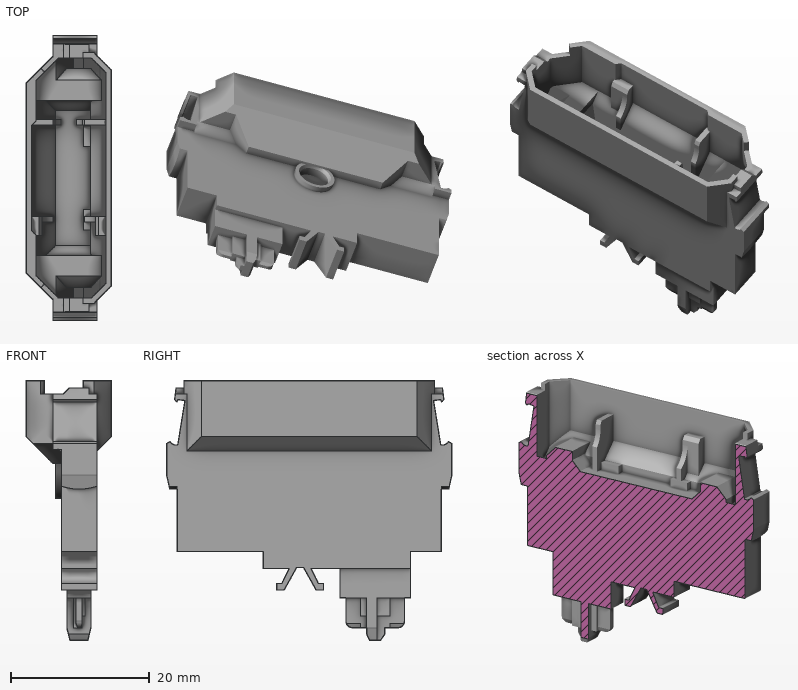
import cadquery as cq
import math

height = 37.5
half_width = 12.3 / 2
half_length = 41.2 / 2

shell_end = 18.1
left_corner = 4.35
right_corner = 2.5
skirt_top = 29.4
skirt_floor = 25.55
skirt_half = 10.18
end_floor = 28.43
wedge_floor = 27.15

body_left = -1.07
body_right = 4.08
clip_left = -2.3
body_half = 19.08
body_shoulder = 27.55
body_floor = 12.8
step_floor = 10.35
step_back = 14.63
step_front = -6.67

wall = 0.8
thick_left_wall = 1.4
thin_half = 7.6
inner_end = 17.35
inner_left_corner = 3.3
inner_right_corner = 2.15
slope_top = 29.75
floor_z = 26.3
floor_right = 3.15
ledge_z = 29.1
ledge_start = 11.15
ledge_end = 14.15
ramp_run = 1.4
inner_half = half_width - wall

pocket_left = -1.8
pocket_floor_left = 0.65
pocket_floor_right = 2.15
pocket_right = 4.55
pocket_ramp_end = 15.8

notch_z = 35.6
notch_right = 2.05
notch_diagonal = 11.8
lip_bump_z = 36.45

fin_top = 33.83
fin_bevel = 0.6
fin_thickness = 0.82
flare_radius = 3.7
flare_top = 32.42


def prism_x(points, x0, x1):
    """Prism along X from (y, z) points."""
    return cq.Workplane("YZ", origin=(x0, 0, 0)).polyline(points).close().extrude(x1 - x0)


def prism_y(points, y0, y1):
    """Prism along Y from (x, z) points."""
    return cq.Workplane("XZ", origin=(0, y1, 0)).polyline(points).close().extrude(y1 - y0)


def prism_z(points, z0, z1):
    """Prism along Z from (x, y) points."""
    return cq.Workplane("XY", origin=(0, 0, z0)).polyline(points).close().extrude(z1 - z0)


def block(x0, x1, y0, y1, z0, z1):
    return cq.Workplane("XY").box(x1 - x0, y1 - y0, z1 - z0, centered=False).translate((x0, y0, z0))


def both_ends(solid):
    """The solid together with its mirror image at the other Y end."""
    return solid.union(solid.mirror("XZ"))


def octagon(left, right, end, left_cut, right_cut, z0, z1):
    """Elongated plan outline with different corners on the -X and +X sides."""
    upper = [
        (right, end - right_cut),
        (right - right_cut, end),
        (left + left_cut, end),
        (left, end - left_cut),
    ]
    lower = [(x, -y) for x, y in reversed(upper)]
    return prism_z(upper + lower, z0, z1)


def shell():
    right_slope_end = skirt_top - (half_width - body_right)
    left_slope_end = -half_width + skirt_top - skirt_floor
    knee_x = -half_width + skirt_top - end_floor
    right_side = [(body_right, right_slope_end), (half_width, skirt_top), (half_width, height)]
    left_side = [(-half_width, height), (-half_width, skirt_top)]
    deep = left_side + [(left_slope_end, skirt_floor), (body_right, skirt_floor)] + right_side
    shallow = left_side + [(knee_x, end_floor), (body_right, end_floor)] + right_side
    rise = height - skirt_floor
    trapezoid = [
        (-skirt_half, skirt_floor),
        (skirt_half, skirt_floor),
        (skirt_half + rise, height),
        (-skirt_half - rise, height),
    ]
    middle = prism_y(deep, -shell_end, shell_end).intersect(prism_x(trapezoid, -half_width, half_width))
    walls = middle.union(prism_y(shallow, -shell_end, shell_end))
    outline = octagon(-half_width, half_width, shell_end, left_corner, right_corner, 0, height)
    short_end = 17.9
    hidden_ends = both_ends(block(clip_left, body_right, short_end, shell_end, end_floor, notch_z))
    return walls.intersect(outline).cut(hidden_ends)


def corner_wedges():
    """Sloped corner under the shallow ends, between the wide clips and the slab."""
    profile = [
        (clip_left, end_floor),
        (body_left, wedge_floor),
        (body_right, wedge_floor),
        (body_right, end_floor),
    ]
    return prism_y(profile, -shell_end, shell_end)


def wedge_clearance():
    """Space below the sloped corner, which also trims the inner part of the wide clips."""
    profile = [
        (clip_left, end_floor),
        (body_left, wedge_floor),
        (clip_left, wedge_floor),
    ]
    return prism_y(profile, -shell_end, shell_end)


def rim_notch():
    """Opening in the end wall, with one square side and one side across the slanted corner."""
    inside = 15.05
    plan = [
        (notch_right, half_length),
        (notch_diagonal - half_length, half_length),
        (notch_diagonal - inside, inside),
        (notch_right, inside),
    ]
    return both_ends(prism_z(plan, notch_z, height))


def cavity():
    left = -half_width + thick_left_wall
    outline = octagon(left, inner_half, inner_end, inner_left_corner, inner_right_corner, 0, height)
    thin_step = thick_left_wall - wall
    outline = outline.union(prism_z([
        (-inner_half, -thin_half),
        (left, -thin_half - thin_step),
        (left, thin_half + thin_step),
        (-inner_half, thin_half),
    ], 0, height))

    slope_right = [(inner_half, slope_top), (inner_half, height)]
    ledge_right = inner_half - slope_top + ledge_z
    upper = prism_y(
        [(-inner_half, height), (-inner_half, ledge_z), (ledge_right, ledge_z)] + slope_right,
        -inner_end, inner_end)
    trough = prism_y([
        (-inner_half, height),
        (-inner_half, slope_top),
        (-inner_half + slope_top - floor_z, floor_z),
        (floor_right, floor_z),
        (floor_right, slope_top - inner_half + floor_right),
    ] + slope_right, -ledge_start, ledge_start)
    ramp_foot = ledge_start - ramp_run
    ramp_top = floor_z + ramp_run
    trough_side = prism_x([
        (-ramp_foot, floor_z),
        (ramp_foot, floor_z),
        (ledge_start, ramp_top),
        (ledge_start, height),
        (-ledge_start, height),
        (-ledge_start, ramp_top),
    ], -half_width, half_width)
    middle = block(-half_width, half_width, -ledge_start, ledge_start, 0, height)
    return upper.cut(middle).union(trough.intersect(trough_side)).union(end_pockets()).intersect(outline)


def end_pockets():
    """V-shaped hollows between the ledges and the end walls."""
    wall_foot_z = slope_top - inner_half + pocket_right
    vee = prism_y([
        (pocket_left, ledge_z),
        (pocket_floor_left, floor_z),
        (pocket_floor_right, floor_z),
        (pocket_right, wall_foot_z),
        (pocket_right - wall_foot_z + ledge_z, ledge_z),
    ], ledge_end, inner_end)
    ramp_drop = pocket_ramp_end - ledge_end
    side = prism_x([
        (ledge_end, ledge_z),
        (pocket_ramp_end, ledge_z - ramp_drop),
        (pocket_ramp_end, floor_z),
        (inner_end, floor_z),
        (inner_end, ledge_z),
    ], -half_width, half_width)
    return both_ends(vee.intersect(side))


def fin(edge, foot, chamfer, y0, y1):
    """Fin standing off the +X wall whose free edge flares out at the bottom."""
    center_x = edge - flare_radius
    sweep = math.acos((foot - center_x) / flare_radius)
    end_z = flare_top - flare_radius * math.sin(sweep)
    middle = (
        center_x + flare_radius * math.cos(sweep / 2),
        flare_top - flare_radius * math.sin(sweep / 2),
    )
    return (
        cq.Workplane("XZ", origin=(0, y1, 0))
        .moveTo(half_width, 0)
        .lineTo(foot, 0)
        .lineTo(foot, end_z)
        .threePointArc(middle, (edge, flare_top))
        .lineTo(edge, fin_top - fin_bevel)
        .lineTo(edge + chamfer, fin_top)
        .lineTo(half_width, fin_top)
        .close()
        .extrude(y1 - y0)
    )


def fins():
    back_y = 7.62
    back = fin(edge=2.0, foot=1.15, chamfer=0.3, y0=back_y, y1=back_y + fin_thickness)

    front_y = -5.52
    post_width = 2.8
    post_edge = 3.87
    post_chamfer = 0.4
    front = fin(edge=post_edge, foot=2.25, chamfer=post_chamfer, y0=front_y - fin_thickness, y1=front_y)
    post = prism_y([
        (half_width, 0),
        (post_edge, 0),
        (post_edge, fin_top - fin_bevel),
        (post_edge + post_chamfer, fin_top),
        (half_width, fin_top),
    ], front_y - post_width, front_y)
    right = back.union(front).union(post)
    return right.union(right.mirror("YZ"))


def floor_pads():
    """Raised pads against the upright step on the +X side of the floor."""
    pad_left = 2.15
    pad_near = 4.55
    pad_far = 7.5
    pad_top = slope_top - inner_half + floor_right
    return both_ends(block(pad_left, floor_right, pad_near, pad_far, 0, pad_top))


def clips():
    root = 16.5
    side = (
        cq.Workplane("YZ", origin=(clip_left, 0, 0))
        .moveTo(root, body_shoulder)
        .lineTo(half_length, body_shoulder)
        .lineTo(half_length, 28.43)
        .lineTo(20.1, 28.68)
        .threePointArc((19.65, 28.3), (19.0, 28.22))
        .lineTo(17.95, 34.6)
        .lineTo(18.95, 34.75)
        .lineTo(19.1, 34.4)
        .lineTo(19.45, 34.77)
        .lineTo(19.25, lip_bump_z)
        .lineTo(root, lip_bump_z)
        .close()
        .extrude(body_right - clip_left)
    )
    bump_left = 0.1
    bump_right = 2.93
    outline = [
        (clip_left, body_shoulder),
        (clip_left, notch_z),
        (bump_left - lip_bump_z + notch_z, notch_z),
        (bump_left, lip_bump_z),
        (bump_right, lip_bump_z),
        (bump_right, notch_z),
        (body_right, notch_z),
        (body_right, body_shoulder),
    ]
    return both_ends(side.intersect(prism_y(outline, root, half_length)))


def body():
    slab = block(body_left, body_right, -body_half, body_half, body_floor, body_shoulder)
    step = block(body_left, body_right, step_front, step_back, step_floor, body_floor)
    return slab.union(step).union(hooks())


def hooks():
    """Blocks below the clips, rounded across their underside."""
    edge_z = 22.25
    middle_z = 21.85
    tip = 20.15
    profile = prism_x([
        (body_half, body_shoulder),
        (half_length, body_shoulder),
        (half_length, 23.85),
        (tip, middle_z),
        (body_half, middle_z),
    ], body_left, body_right)
    rounded = (
        cq.Workplane("XZ", origin=(0, half_length, 0))
        .moveTo(body_left, body_shoulder)
        .lineTo(body_left, edge_z)
        .threePointArc(((body_left + body_right) / 2, middle_z), (body_right, edge_z))
        .lineTo(body_right, body_shoulder)
        .close()
        .extrude(half_length)
    )
    return both_ends(profile.intersect(rounded))


ring_z = 23.45
ring_radius = 5.9 / 2
ring_face = -1.95
bore_radius = 2.45
bore_inner_radius = 2.15
bore_chamfer_depth = 0.45
bore_depth = 1.65


def ring_center(x):
    return cq.Workplane("YZ", origin=(x, 0, ring_z))


def ring():
    return ring_center(ring_face).circle(ring_radius).extrude(body_left - ring_face)


def bore():
    lead_in = (
        ring_center(ring_face)
        .circle(bore_radius)
        .workplane(offset=bore_chamfer_depth)
        .circle(bore_inner_radius)
        .loft()
    )
    return lead_in.union(ring_center(ring_face).circle(bore_inner_radius).extrude(bore_depth))


legs_y = -1.3
leg_root_y = 0.5
leg_root = step_floor + 0.15
foot_top = 8.25
foot_floor = 7.25


def spring_legs():
    """Pair of splayed legs with feet under the lower step."""
    leg = [
        (leg_root_y, leg_root),
        (1.6, leg_root),
        (1.6, step_floor),
        (2.65, foot_top),
        (3.38, foot_top),
        (3.38, foot_floor),
        (2.3, foot_floor),
    ]
    return both_ends(prism_x(leg, body_left, body_right)).translate((0, legs_y, 0))


def leg_gap():
    """Shallow notch in the lower step between the leg roots."""
    profile = [
        (-leg_root_y, leg_root),
        (leg_root_y, leg_root),
        (0.6, step_floor),
        (-0.6, step_floor),
    ]
    return prism_x(profile, body_left, body_right).translate((0, legs_y, 0))


plug_left = -0.3
plug_right = 3.2
plug_floor = 6.15
prong_floor = 1.8
bar_left = 1.07
web_right = 1.95


def plug():
    base_front = 4.4
    base = block(plug_left, plug_right, base_front, step_back, plug_floor, step_floor)

    blade_front = 8.3
    blade_back = 9.75
    taper = 0.45
    blade = prism_y([
        (plug_left, plug_floor),
        (plug_left, prong_floor),
        (plug_left + taper, 0),
        (plug_right - taper, 0),
        (plug_right, prong_floor),
        (plug_right, plug_floor),
    ], blade_front, blade_back)

    web_left = 0.65
    web_front = 7.4
    web_back = 11.65
    shoulder_right = 2.35
    shoulder_floor = 3.5
    web = block(web_left, web_right, web_front, web_back, prong_floor, plug_floor)
    web = web.union(block(web_right, shoulder_right, web_front, web_back, shoulder_floor, plug_floor))
    key_back = 10.9
    web = web.union(block(bar_left, web_right, blade_back, key_back, 0, plug_floor))

    tip_chamfer_z = 0.9
    tip_side = prism_x([
        (0, plug_floor),
        (0, prong_floor),
        (blade_front, prong_floor),
        (blade_front, tip_chamfer_z),
        (8.7, 0),
        (10.3, 0),
        (key_back, tip_chamfer_z),
        (key_back, prong_floor),
        (half_length, prong_floor),
        (half_length, plug_floor),
    ], plug_left, plug_right)
    return base.union(blade.union(web).union(prongs()).intersect(tip_side))


def prongs():
    """Thin bar through the web with rounded outer corners and a tapered lower edge."""
    left = bar_left
    right = web_right
    taper = 0.2
    taper_z = 2.45
    corner = 1.0
    bar_front = 5.27
    bar_back = 13.75
    bar = block(left, right, bar_front, bar_back, prong_floor, plug_floor)
    bar = bar.edges("|X and <Z").fillet(corner)
    section = prism_y([
        (left, plug_floor),
        (left, taper_z),
        (left + taper, prong_floor),
        (right - taper, prong_floor),
        (right, taper_z),
        (right, plug_floor),
    ], 0, half_length)
    return bar.intersect(section)


hollow = cavity().cut(fins()).cut(floor_pads())
ends = clips().cut(wedge_clearance()).union(corner_wedges())
result = shell().cut(rim_notch()).union(ends).union(body()).union(ring())
result = result.cut(hollow.union(bore())).cut(leg_gap()).union(spring_legs()).union(plug())